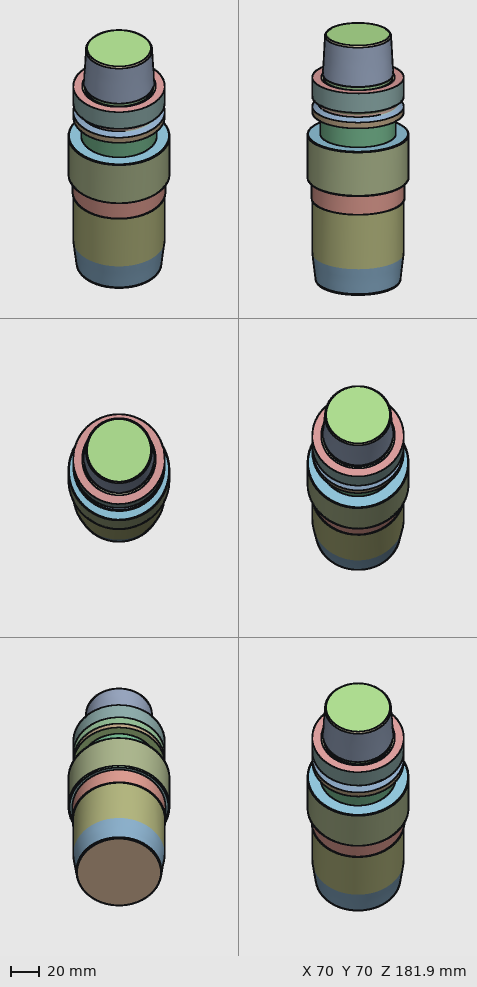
import cadquery as cq

total_height = 181.9
nose_height = 1.1
taper_height = 20.2
tube_top = 60.5
collar_bottom = 75.0
collar_top = 108.2
flange_bottom = 124.2
flange_top = 150.0
shank_base = 152.3

end_radius = 29.0
nose_radius = 29.5
tube_radius = 31.7
step_radius = 32.2
collar_radius = 35.02
neck_radius = 26.2
flange_radius = 31.7
undercut_radius = 23.8
shank_base_radius = 24.4
shank_top_radius = 23.0

collar_bottom_chamfer = 1.0
collar_top_chamfer = 0.5
shank_chamfer_width = 1.0
shank_chamfer_height = 1.3

undercut_chamfer = 0.5
face_recess_radius = 25.5
face_recess_depth = 0.5

groove_radius = 27.6
groove_lower_edge = 128.6
groove_floor_bottom = 130.8
groove_floor_top = 133.5
groove_upper_edge = 135.9
groove_upper_fillet = 1.3
groove_lower_fillet = 0.5

tube_profile = [
    (0, 0),
    (end_radius, 0),
    (nose_radius, nose_height),
    (tube_radius, taper_height),
    (tube_radius, tube_top),
    (step_radius, tube_top),
    (step_radius, collar_bottom),
]
collar_profile = [
    (collar_radius - collar_bottom_chamfer, collar_bottom),
    (collar_radius, collar_bottom + collar_bottom_chamfer),
    (collar_radius, collar_top - collar_top_chamfer),
    (collar_radius - collar_top_chamfer, collar_top),
    (neck_radius, collar_top),
]
flange_profile = [
    (neck_radius, flange_bottom),
    (flange_radius, flange_bottom),
    (flange_radius, groove_lower_edge),
    (groove_radius, groove_floor_bottom),
    (groove_radius, groove_floor_top),
    (flange_radius, groove_upper_edge),
    (flange_radius, flange_top),
]
shank_profile = [
    (face_recess_radius, flange_top),
    (undercut_radius, flange_top - face_recess_depth),
    (undercut_radius, shank_base - undercut_chamfer),
    (shank_base_radius, shank_base),
    (shank_top_radius, total_height - shank_chamfer_height),
    (shank_top_radius - shank_chamfer_width, total_height),
    (0, total_height),
]

half_section = tube_profile + collar_profile + flange_profile + shank_profile
body = cq.Workplane("XZ").polyline(half_section).close().revolve(360, (0, 0, 0), (0, 1, 0))


def round_groove_corner(solid, height, fillet_radius):
    """Fillet the inner corner of the gripper groove at the given height."""
    half_band = 0.2
    corner_band = cq.selectors.BoxSelector(
        (-flange_radius, -flange_radius, height - half_band),
        (flange_radius, flange_radius, height + half_band),
    )
    return solid.edges(corner_band).fillet(fillet_radius)


body = round_groove_corner(body, groove_floor_top, groove_upper_fillet)
result = round_groove_corner(body, groove_floor_bottom, groove_lower_fillet)